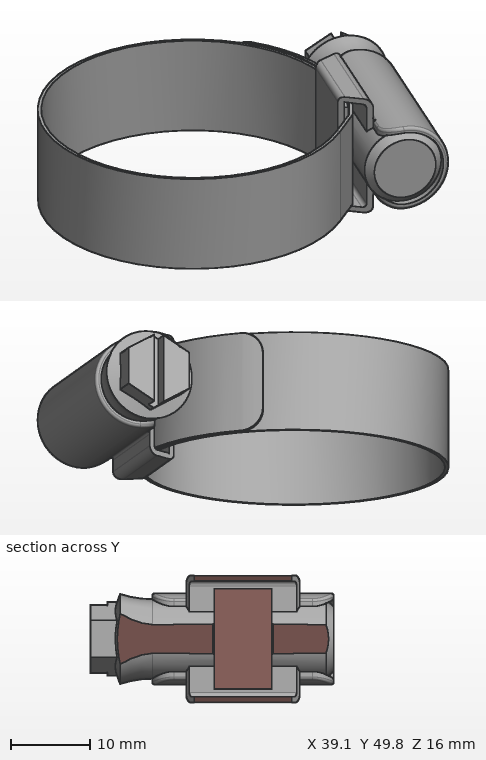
import cadquery as cq
import math


OVERALL_LENGTH = 49.75

BAND_RADIUS = 39.05 / 2
BAND_THICKNESS = 0.45
BAND_WIDTH = 12.65
TAIL_RADIUS = 20.15
TAIL_END_ANGLE = 150.0
TAIL_CORNER_RADIUS = 2.75
RAMP_ANGLE = 55.0
RAMP_BEND_RADIUS = 2.25
START_ANGLE = 75.0

BARREL_RADIUS = 5.0
BARREL_HALF_LENGTH = 11.45
BARREL_CHAMFER = 1.0
FLANGE_RADIUS = 5.65
FLANGE_LENGTH = 4.05
FACE_RISE = 0.6
HEX_FLATS = 8.05
HEX_END = -19.2
SLOT_WIDTH = 1.25
SLOT_DEPTH = 2.15

SHEET = 0.75
HOOD_RADIUS = BARREL_RADIUS + SHEET
SCREW_Y = OVERALL_LENGTH - BAND_RADIUS - HOOD_RADIUS
HOOD_CORNER_RADIUS = 2.75
HOOD_EDGE_ROUND = 0.4
LOOP_TOP_Y = 21.55
LOOP_BOTTOM_Y = 17.55
LOOP_HALF_HEIGHT = 8.0
LOOP_TOP_HALF_LENGTH = 7.15
LOOP_BOTTOM_HALF_LENGTH = 4.9
LOOP_TOP_ROUND = 1.1
LOOP_BOTTOM_ROUND = 0.8
LOOP_INNER_ROUND = 0.55
NECK_ROUND = 0.25


def polar(radius, angle):
    """Point at an angle in degrees on a circle about the band axis."""
    return (radius * math.cos(math.radians(angle)), radius * math.sin(math.radians(angle)))


def ramp_top(loop_radius, tail_radius):
    """Angle at which the tangent to the loop at RAMP_ANGLE reaches the tail circle."""
    return RAMP_ANGLE + math.degrees(math.acos(loop_radius / tail_radius))


def make_band():
    """A loop with a tangent ramp that lifts its tail over the other end."""
    loop_inner = BAND_RADIUS - BAND_THICKNESS
    tail_inner = TAIL_RADIUS - BAND_THICKNESS
    outer_bend = ramp_top(BAND_RADIUS, TAIL_RADIUS)
    inner_bend = ramp_top(loop_inner, tail_inner)
    far_side = (RAMP_ANGLE + START_ANGLE) / 2 - 180
    tail_middle_angle = (outer_bend + TAIL_END_ANGLE) / 2

    band = (
        cq.Workplane("XY")
        .workplane(offset=-BAND_WIDTH / 2)
        .moveTo(*polar(TAIL_RADIUS, TAIL_END_ANGLE))
        .threePointArc(polar(TAIL_RADIUS, tail_middle_angle), polar(TAIL_RADIUS, outer_bend))
        .lineTo(*polar(BAND_RADIUS, RAMP_ANGLE))
        .threePointArc(polar(BAND_RADIUS, far_side), polar(BAND_RADIUS, START_ANGLE))
        .lineTo(*polar(loop_inner, START_ANGLE))
        .threePointArc(polar(loop_inner, far_side), polar(loop_inner, RAMP_ANGLE))
        .lineTo(*polar(tail_inner, inner_bend))
        .threePointArc(polar(tail_inner, tail_middle_angle), polar(tail_inner, TAIL_END_ANGLE))
        .close()
        .extrude(BAND_WIDTH)
    )
    bends = (
        (polar(TAIL_RADIUS, outer_bend), RAMP_BEND_RADIUS + BAND_THICKNESS),
        (polar(tail_inner, inner_bend), RAMP_BEND_RADIUS),
    )
    for bend_point, radius in bends:
        bend_edge = cq.selectors.NearestToPointSelector((*bend_point, 0))
        band = band.edges("|Z").edges(bend_edge).fillet(radius)

    end_middle = polar(TAIL_RADIUS - BAND_THICKNESS / 2, TAIL_END_ANGLE)
    tail_end = cq.selectors.NearestToPointSelector((*end_middle, 0))
    return band.faces(tail_end).edges("not |Z").fillet(TAIL_CORNER_RADIUS)


def make_screw():
    """A turned barrel and flange with a slotted hexagon head."""
    rim_x = -BARREL_HALF_LENGTH - FLANGE_LENGTH
    hex_radius = HEX_FLATS / 2
    flare_rise = FLANGE_RADIUS - BARREL_RADIUS
    turned = (
        cq.Workplane("XY")
        .moveTo(rim_x - FACE_RISE, 0)
        .lineTo(rim_x - FACE_RISE, hex_radius)
        .lineTo(rim_x, FLANGE_RADIUS)
        .threePointArc(
            (-BARREL_HALF_LENGTH - FLANGE_LENGTH / 2, BARREL_RADIUS + flare_rise / 4),
            (-BARREL_HALF_LENGTH, BARREL_RADIUS),
        )
        .lineTo(BARREL_HALF_LENGTH - BARREL_CHAMFER, BARREL_RADIUS)
        .lineTo(BARREL_HALF_LENGTH, BARREL_RADIUS - BARREL_CHAMFER)
        .lineTo(BARREL_HALF_LENGTH, 0)
        .close()
        .revolve(360, (0, 0, 0), (1, 0, 0))
    )
    hexagon = (
        cq.Workplane("YZ")
        .workplane(offset=HEX_END)
        .transformed(rotate=(0, 0, 90))
        .polygon(6, HEX_FLATS / math.cos(math.radians(30)))
        .extrude(rim_x - HEX_END)
    )
    slot = cq.Workplane("XY").box(2 * SLOT_DEPTH, SLOT_WIDTH, 2 * HEX_FLATS).translate((HEX_END, 0, 0))
    screw = turned.union(hexagon).cut(slot).translate((0, SCREW_Y, 0))

    band_path = cq.Workplane("XY").circle(TAIL_RADIUS).extrude(BAND_WIDTH / 2, both=True)
    return screw.cut(band_path)


def hood_blank(half_length):
    """The plain outside of the hood, cut off flat at the top of the loop."""
    below = LOOP_TOP_Y - HOOD_RADIUS
    cutter = (
        cq.Workplane("XY")
        .box(2 * half_length, 2 * HOOD_RADIUS, 2 * HOOD_RADIUS)
        .translate((0, below, 0))
    )
    return (
        cq.Workplane("YZ", origin=(0, SCREW_Y, 0))
        .circle(HOOD_RADIUS)
        .extrude(half_length, both=True)
        .cut(cutter)
    )


def make_hood():
    """The outside of the sheet over the screw, with rounded lower corners and outer edge."""
    hood_height = SCREW_Y + HOOD_RADIUS - LOOP_TOP_Y
    outline = (
        cq.Workplane("XY")
        .box(2 * BARREL_HALF_LENGTH, hood_height, 2 * HOOD_RADIUS)
        .translate((0, LOOP_TOP_Y + hood_height / 2, 0))
        .edges("|Z and <Y")
        .fillet(HOOD_CORNER_RADIUS)
    )
    cover = hood_blank(BARREL_HALF_LENGTH).intersect(outline)
    return cover.faces("<X or >X").edges().fillet(HOOD_EDGE_ROUND)


def make_loop():
    """The tapered loop below the hood: two wings, two legs and the bridge under the band."""
    loop_height = LOOP_TOP_Y - LOOP_BOTTOM_Y
    middle_y = LOOP_BOTTOM_Y + loop_height / 2
    outside = (
        cq.Workplane("XY")
        .box(2 * LOOP_TOP_HALF_LENGTH, loop_height, 2 * LOOP_HALF_HEIGHT)
        .edges("|X and >Y")
        .fillet(LOOP_TOP_ROUND)
        .edges("|X and <Y")
        .fillet(LOOP_BOTTOM_ROUND)
        .translate((0, middle_y, 0))
        .union(hood_blank(LOOP_TOP_HALF_LENGTH))
    )
    neck_z = math.sqrt(HOOD_RADIUS**2 - (SCREW_Y - LOOP_TOP_Y) ** 2)
    for side in (-1, 1):
        neck_edge = cq.selectors.NearestToPointSelector((0, LOOP_TOP_Y, side * neck_z))
        outside = outside.edges("|X").edges(neck_edge).fillet(NECK_ROUND)

    inside = (
        cq.Workplane("XY")
        .box(2 * LOOP_TOP_HALF_LENGTH, loop_height - 2 * SHEET, 2 * (LOOP_HALF_HEIGHT - SHEET))
        .edges("|X and >Y")
        .fillet(LOOP_INNER_ROUND)
        .translate((0, middle_y, 0))
    )
    hood_top_y = SCREW_Y + HOOD_RADIUS
    taper = (
        cq.Workplane("XY")
        .polyline([
            (-LOOP_TOP_HALF_LENGTH, hood_top_y),
            (LOOP_TOP_HALF_LENGTH, hood_top_y),
            (LOOP_TOP_HALF_LENGTH, LOOP_TOP_Y),
            (LOOP_BOTTOM_HALF_LENGTH, LOOP_BOTTOM_Y),
            (-LOOP_BOTTOM_HALF_LENGTH, LOOP_BOTTOM_Y),
            (-LOOP_TOP_HALF_LENGTH, LOOP_TOP_Y),
        ])
        .close()
        .extrude(LOOP_HALF_HEIGHT, both=True)
    )
    return outside.cut(inside).intersect(taper)


def make_housing():
    """Hood and loop in one piece, hollowed to the screw barrel."""
    barrel_space = (
        cq.Workplane("YZ", origin=(0, SCREW_Y, 0))
        .circle(BARREL_RADIUS)
        .extrude(BARREL_HALF_LENGTH, both=True)
    )
    return make_hood().union(make_loop()).cut(barrel_space)


band = make_band()
screw = make_screw()
housing = make_housing()

result = cq.Compound.makeCompound([band.val(), screw.val(), housing.val()])